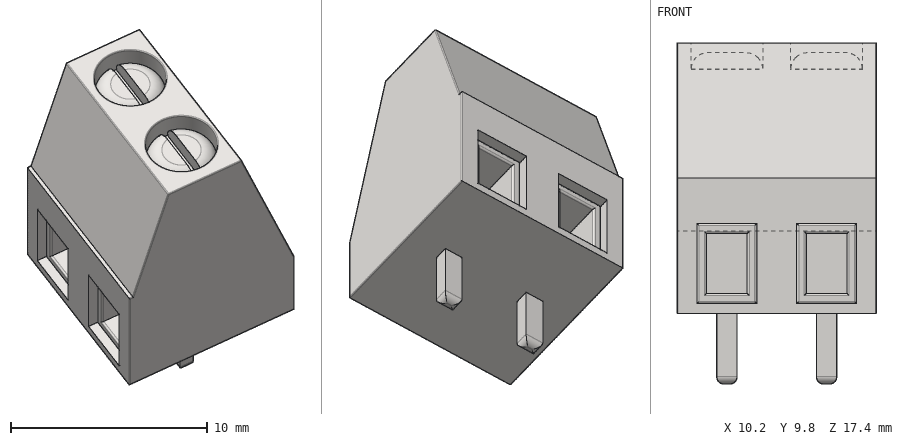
import cadquery as cq


pole_count = 2
pitch = 5.08
pole_y = 4.61
pole_positions = [(pole - (pole_count - 1) / 2) * pitch for pole in range(pole_count)]

total_height = 17.4
width = pole_count * pitch
depth = 9.8
height = 13.8
front_wall_height = height / 2
front_ledge = 0.21
back_wall_height = 4.2
top_front_y = 2.31
top_back_y = 6.66
edge_radius = 0.05

screw_diameter = 3.67
screw_flat_diameter = 2.0
screw_recess = 0.5
screw_dome_radius = (screw_diameter - screw_flat_diameter) / 2
slot_width = 0.5
slot_depth = 0.87

window_width = 3.05
window_height = 4.09
window_floor = 0.5
window_recess = 0.5
clamp_side_wall = 0.38
clamp_end_wall = 0.42
clamp_edge_radius = 0.1
wire_opening_end = pole_y + screw_diameter / 2

pin_width = 1.05
pin_thickness = 0.78
pin_length = total_height - height
pin_tip_radius = 0.38


def make_screw_hole(x):
    """Hole in the housing top, down to the rim of the screw head."""
    hole_depth = screw_recess + screw_dome_radius
    return (
        cq.Workplane("XY", origin=(x, pole_y, height - hole_depth))
        .circle(screw_diameter / 2)
        .extrude(hole_depth)
    )


def make_housing():
    """Wedge-shaped housing with screw holes; end-face outlines and all top edges are rounded."""
    outline = [
        (0, 0),
        (depth, 0),
        (depth, back_wall_height),
        (top_back_y, height),
        (top_front_y, height),
        (front_ledge, front_wall_height),
        (0, front_wall_height),
    ]
    body = cq.Workplane("YZ").polyline(outline).close().extrude(width / 2, both=True)
    for x in pole_positions:
        body = body.cut(make_screw_hole(x))
    return body.faces("<X or >X or >Z").edges().fillet(edge_radius)


def front_block(x, block_width, block_height, start_y, end_y):
    """Box centred on the window of the pole at x, running from start_y back to end_y."""
    centre_z = window_floor + window_height / 2
    return (
        cq.Workplane("XY")
        .box(block_width, end_y - start_y, block_height, centered=(True, False, True))
        .translate((x, start_y, centre_z))
    )


def make_screw_head(x):
    """Domed head, flat in the middle and rounded down to its rim, rooted in the housing."""
    head_height = 2 * screw_dome_radius
    return (
        cq.Workplane("XY", origin=(x, pole_y, height - screw_recess - head_height))
        .circle(screw_diameter / 2)
        .extrude(head_height)
        .faces(">Z")
        .edges()
        .fillet(screw_dome_radius)
    )


def make_screw_slot(x):
    """Driver slot along X, cut through the head within the screw diameter."""
    slot_floor = height - screw_recess - slot_depth
    bar = (
        cq.Workplane("XY", origin=(x, pole_y, slot_floor))
        .rect(screw_diameter, slot_width)
        .extrude(slot_depth)
    )
    envelope = (
        cq.Workplane("XY", origin=(x, pole_y, slot_floor))
        .circle(screw_diameter / 2)
        .extrude(slot_depth)
    )
    return bar.intersect(envelope)


def make_window(x):
    """Recess in the front face, as wide and high as the clamp behind it."""
    return front_block(x, window_width, window_height, 0, window_recess + clamp_edge_radius)


def make_wire_opening(x):
    """Blind wire passage, narrower than the clamp opening by its rounded edges."""
    opening_width = window_width - 2 * clamp_side_wall
    opening_height = window_height - 2 * clamp_end_wall
    return front_block(
        x,
        opening_width - 2 * clamp_edge_radius,
        opening_height - 2 * clamp_edge_radius,
        window_recess,
        wire_opening_end,
    )


def make_clamp_front(x):
    """Front end of the clamp, with rounded outer edges and a rounded wire opening."""
    end_y = window_recess + 2 * clamp_edge_radius
    frame = front_block(x, window_width, window_height, window_recess, end_y)
    return frame.cut(make_wire_opening(x)).faces("<Y").edges().fillet(clamp_edge_radius)


def make_pin(x):
    """Solder pin with rounded tip edges."""
    return (
        cq.Workplane("XY", origin=(x, pole_y, 0))
        .rect(pin_width, pin_thickness)
        .extrude(-pin_length)
        .faces("<Z")
        .edges()
        .fillet(pin_tip_radius)
    )


result = make_housing()
for pole_x in pole_positions:
    result = result.union(make_screw_head(pole_x)).cut(make_screw_slot(pole_x))
    result = result.cut(make_window(pole_x)).cut(make_wire_opening(pole_x)).union(make_clamp_front(pole_x))
    result = result.union(make_pin(pole_x))